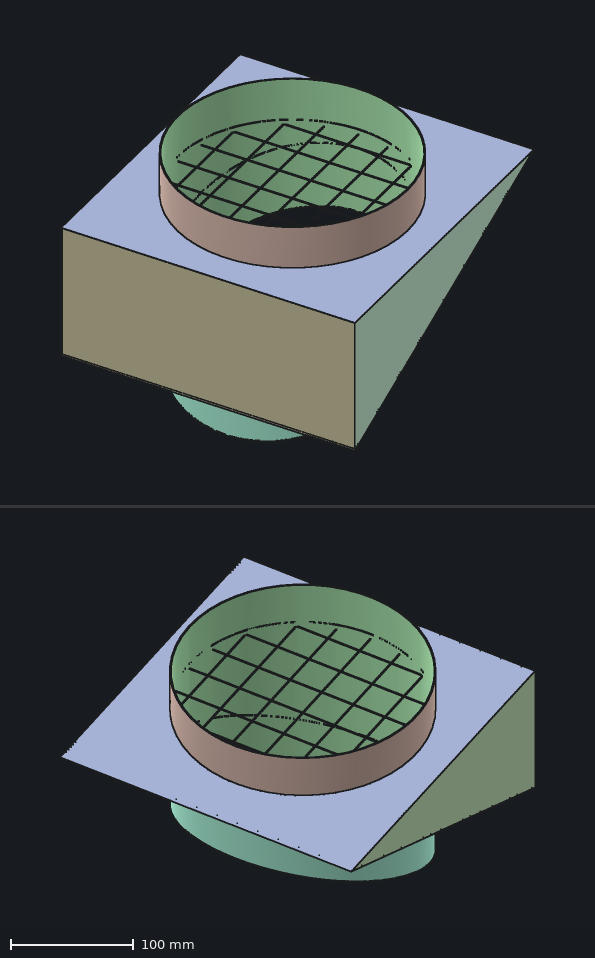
import cadquery as cq
import math

BOX_WIDTH = 277.0
BOX_LENGTH = 292.0
BOX_HEIGHT = 126.0
SHEET = 1.0

SIDE_MARGIN = 30.0
FRONT_MARGIN = 29.2
DUCT_DIAMETER = BOX_WIDTH - 2 * SIDE_MARGIN
DUCT_RADIUS = DUCT_DIAMETER / 2
BORE_RADIUS = DUCT_RADIUS - SHEET
COLLAR_HEIGHT = 40.0
TOTAL_HEIGHT = 215.0

WIRE = 0.5
WIRE_PITCH = 30.0
GUARD_DEPTH = 5.0
WIRE_OVERLAP = SHEET / 2

FRONT_Y = -DUCT_RADIUS - FRONT_MARGIN
TIP_Y = FRONT_Y + BOX_LENGTH
DUCT_BOTTOM_Z = COLLAR_HEIGHT - TOTAL_HEIGHT
BASE_SLOPE = BOX_HEIGHT / BOX_LENGTH
BASE_ANGLE = math.atan(BASE_SLOPE)


def wedge(width, front_y, top_z, tip_y):
    """Wedge with its level top at top_z, falling from tip_y to front_y at the base slope."""
    front_bottom_z = top_z - (tip_y - front_y) * BASE_SLOPE
    outline = [(front_y, top_z), (tip_y, top_z), (front_y, front_bottom_z)]
    return cq.Workplane("YZ").polyline(outline).close().extrude(width / 2, both=True)


def box_walls():
    """Closed wedge box with an even sheet thickness on all sides."""
    tip_setback = SHEET / math.tan(BASE_ANGLE) + SHEET / math.sin(BASE_ANGLE)
    outside = wedge(BOX_WIDTH, FRONT_Y, 0, TIP_Y)
    cavity = wedge(BOX_WIDTH - 2 * SHEET, FRONT_Y + SHEET, -SHEET, TIP_Y - tip_setback)
    return outside.cut(cavity)


def duct_column(radius):
    """Solid column with a level top and a lower end cut parallel to the sloping base."""
    outline = [
        (-DUCT_RADIUS, COLLAR_HEIGHT),
        (DUCT_RADIUS, COLLAR_HEIGHT),
        (DUCT_RADIUS, DUCT_BOTTOM_Z + DUCT_DIAMETER * BASE_SLOPE),
        (-DUCT_RADIUS, DUCT_BOTTOM_Z),
    ]
    side_profile = cq.Workplane("YZ").polyline(outline).close().extrude(DUCT_RADIUS, both=True)
    column = cq.Workplane("XY").workplane(offset=DUCT_BOTTOM_Z).circle(radius).extrude(TOTAL_HEIGHT)
    return column.intersect(side_profile)


def wire_guard():
    """Level grid of square wires spanning the bore, with wire ends set into the duct wall."""
    reach = BORE_RADIUS + WIRE_OVERLAP
    wires_per_side = math.floor(reach / WIRE_PITCH)
    guard = cq.Workplane("XY")
    for index in range(-wires_per_side, wires_per_side + 1):
        offset = index * WIRE_PITCH
        length = 2 * math.sqrt(reach**2 - offset**2)
        guard = guard.union(cq.Workplane("XY").box(WIRE, length, WIRE).translate((offset, 0, -GUARD_DEPTH)))
        guard = guard.union(cq.Workplane("XY").box(length, WIRE, WIRE).translate((0, offset, -GUARD_DEPTH)))
    return guard


bore = duct_column(BORE_RADIUS)
duct = duct_column(DUCT_RADIUS).cut(bore)
body = box_walls().cut(bore).union(duct).union(wire_guard())

result = body.translate((0, -(FRONT_Y + TIP_Y) / 2, 0))